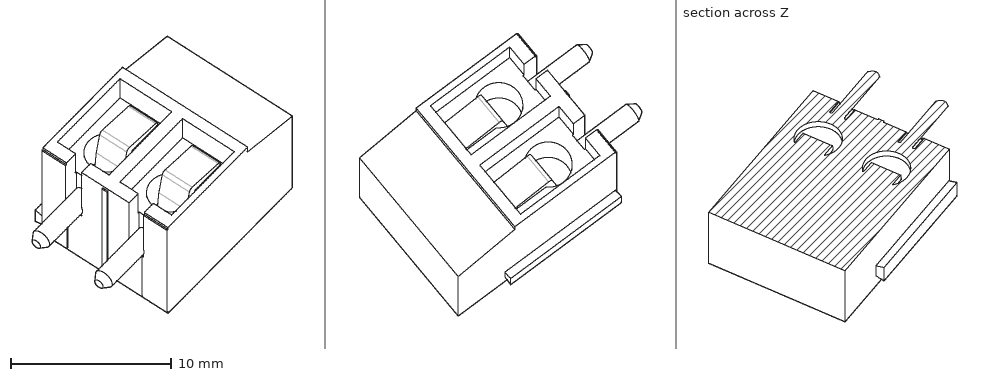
import cadquery as cq
import math

width = 10.0
height = 9.0
pad_height = 0.1
back_y = 12.6

shoulder_length = 4.5
shoulder_front_height = 8.5
shoulder_back_height = 7.51

pad_width = 2.0
rib_width = 0.4
pad_end_gap = 0.2

terminal_pitch = width / 2
terminal_centres = [terminal_pitch / 2, terminal_pitch * 3 / 2]
pocket_width = 4.12
pocket_front_y = 1.01
pocket_back_y = 7.3
pocket_depth = 2.0
pocket_floor = height - pocket_depth
slot_width = 1.2
slot_back_y = 1.1
slot_floor = 4.43

well_radius = 1.5
well_y = 3.49
well_floor = 4.08
well_depth = pocket_floor - well_floor

clamp_width = 2.17
clamp_top_slope = math.radians(6)
clamp_face_lean = math.radians(12.5)
clamp_edge_radius = 0.26
clamp_nose_y = 4.08
clamp_nose_z = 7.63
clamp_knee_y = 3.68
clamp_knee_z = clamp_nose_z - (clamp_nose_y - clamp_knee_y) / math.tan(clamp_face_lean)
clamp_back_y = 7.15
clamp_back_z = clamp_nose_z - (clamp_back_y - clamp_nose_y) * math.tan(clamp_top_slope)

pin_radius = 0.67
pin_tip_radius = 0.35
pin_tip_length = 0.5
pin_length = 3.7
pin_z = 4.99

rail_depth = 0.6
rail_length = 8.8
rail_bottom = 0.77
rail_height = 1.19
rail_taper = 0.16


def box(x0, x1, y0, y1, z0, z1):
    """Axis-aligned box between two corners."""
    return cq.Workplane("XY").box(x1 - x0, y1 - y0, z1 - z0, centered=False).translate((x0, y0, z0))


def housing():
    """Body with the sloped shoulder, extruded across the width."""
    shoulder_y = back_y - shoulder_length
    return (
        cq.Workplane("YZ")
        .moveTo(pad_height, 0)
        .lineTo(back_y, 0)
        .lineTo(back_y, shoulder_back_height)
        .lineTo(shoulder_y, shoulder_front_height)
        .lineTo(shoulder_y, height)
        .lineTo(pad_height, height)
        .close()
        .extrude(width)
    )


def front_strip(x0, x1):
    """Thin raised strip on the front face, between two X positions."""
    return box(x0, x1, 0, pad_height, pad_end_gap, height - pad_end_gap)


def rail():
    """Dovetail rail, wider at its outer face."""
    rail_top = rail_bottom + rail_height
    return (
        cq.Workplane("XZ", origin=(0, pad_height, 0))
        .moveTo(0, rail_bottom + rail_taper)
        .lineTo(-rail_depth, rail_bottom)
        .lineTo(-rail_depth, rail_top)
        .lineTo(0, rail_top - rail_taper)
        .close()
        .extrude(-rail_length)
    )


def terminal_cavity(x):
    """Pocket, well and front slot of one terminal."""
    half_pocket = pocket_width / 2
    half_slot = slot_width / 2
    pocket = box(x - half_pocket, x + half_pocket, pocket_front_y, pocket_back_y, pocket_floor, height)
    slot = box(x - half_slot, x + half_slot, 0, slot_back_y, slot_floor, height)
    well = cq.Workplane("XY", origin=(x, well_y, well_floor)).circle(well_radius).extrude(well_depth)
    return pocket.union(slot).union(well)


def clamp(x):
    """Tongue with rounded nose and heel; its front face steepens below a knee."""
    tongue = (
        cq.Workplane("YZ", origin=(x - clamp_width / 2, 0, 0))
        .moveTo(clamp_nose_y, clamp_nose_z)
        .lineTo(clamp_back_y, clamp_back_z)
        .lineTo(clamp_back_y, well_floor)
        .lineTo(well_y, well_floor)
        .lineTo(clamp_knee_y, clamp_knee_z)
        .close()
        .extrude(clamp_width)
    )
    nose_edge = tongue.edges("|X").edges(">Z")
    tongue = nose_edge.fillet(clamp_edge_radius)
    heel_edge = tongue.edges("|X").edges(">(0, 1, 1)")
    return heel_edge.fillet(clamp_edge_radius)


def pin(x):
    """Round pin with a tapered tip, rooted at the back of the slot."""
    return (
        cq.Workplane("XY")
        .moveTo(0, slot_back_y)
        .lineTo(pin_radius, slot_back_y)
        .lineTo(pin_radius, pin_tip_length - pin_length)
        .lineTo(pin_tip_radius, -pin_length)
        .lineTo(0, -pin_length)
        .close()
        .revolve(360, (0, 0, 0), (0, 1, 0))
        .translate((x, 0, pin_z))
    )


result = housing()
result = result.union(front_strip(0, pad_width))
result = result.union(front_strip(width - pad_width, width))
result = result.union(front_strip((width - rib_width) / 2, (width + rib_width) / 2))
result = result.union(rail())
for centre in terminal_centres:
    result = result.cut(terminal_cavity(centre))
    result = result.union(clamp(centre))
    result = result.union(pin(centre))